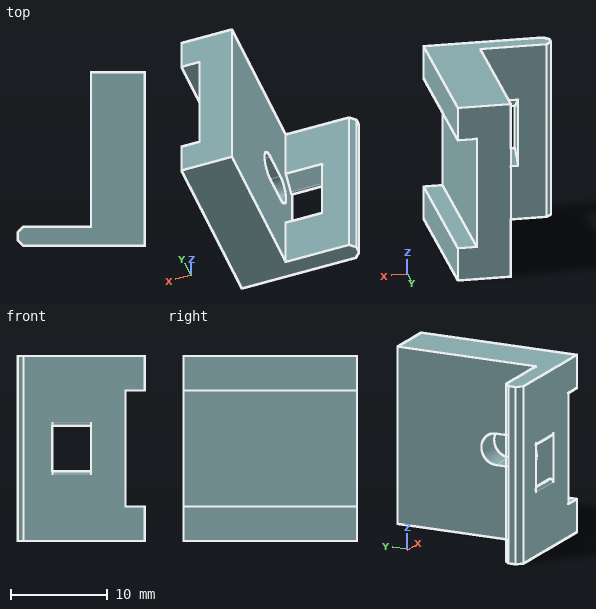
import cadquery as cq
import math

width = 13.2
depth = 18.0
height = 19.2
plate_thickness = 2.0
wall_thickness = 5.6
edge_chamfer = 0.6
mid_height = height / 2
wall_face_x = width - wall_thickness

notch_depth = 2.0
notch_height = 12.0

window_width = 4.0
window_front_height = 4.0
flare_angle = 40.0
lip_radius = 0.3

pocket_length = 6.4
pocket_middle_y = 5.1
pocket_width = 3.4
pocket_depth = 3.0


def make_body():
    """L section with both edges of the plate's free end chamfered."""
    return (
        cq.Workplane("XY")
        .moveTo(edge_chamfer, 0)
        .lineTo(width, 0)
        .lineTo(width, depth)
        .lineTo(wall_face_x, depth)
        .lineTo(wall_face_x, plate_thickness)
        .lineTo(edge_chamfer, plate_thickness)
        .lineTo(0, plate_thickness - edge_chamfer)
        .lineTo(0, edge_chamfer)
        .close()
        .extrude(height)
    )


def make_notch():
    """Rectangular channel running the full depth of the outer side."""
    return (
        cq.Workplane("XY", origin=(width - notch_depth, 0, mid_height))
        .box(notch_depth, depth, notch_height, centered=(False, False, True))
    )


def make_window():
    """Flared opening, before the front lips are rounded."""
    front_half = window_front_height / 2
    back_half = front_half + plate_thickness * math.tan(math.radians(flare_angle))
    return (
        cq.Workplane("YZ", origin=(wall_face_x - window_width, 0, mid_height))
        .moveTo(0, -front_half)
        .lineTo(plate_thickness, -back_half)
        .lineTo(plate_thickness, back_half)
        .lineTo(0, front_half)
        .close()
        .extrude(window_width)
    )


def round_window_lips(part):
    """Round the sharp front edges of the window floor and ceiling."""
    lip_middle_x = wall_face_x - window_width / 2
    for side in (-1, 1):
        lip_z = mid_height + side * window_front_height / 2
        lip_edge = cq.selectors.NearestToPointSelector((lip_middle_x, 0, lip_z))
        part = part.edges(lip_edge).fillet(lip_radius)
    return part


def make_pocket():
    """Blind obround recess cut into the wall along X."""
    return (
        cq.Workplane("YZ", origin=(wall_face_x, pocket_middle_y, mid_height))
        .slot2D(pocket_length, pocket_width)
        .extrude(pocket_depth)
    )


body = make_body().cut(make_notch()).cut(make_window()).cut(make_pocket())
result = round_window_lips(body)